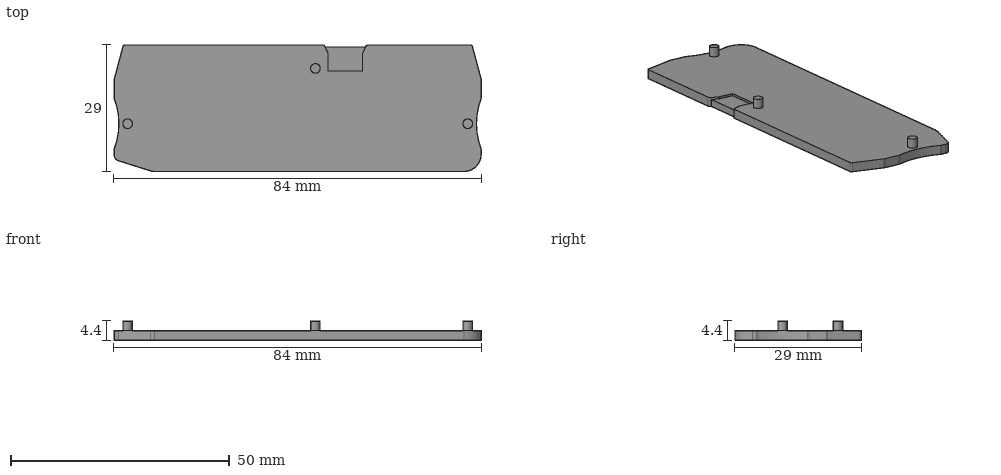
import cadquery as cq
import math

length = 84.0
width = 29.0
thickness = 2.2
total_height = 4.4
x_end = length / 2
y_back = width / 2
y_front = -width / 2

taper_run = 7.9
taper_angle = math.radians(15)
taper_inset = taper_run * math.tan(taper_angle)
y_taper = y_back - taper_run
rear_corner_radius = 0.5
taper_blend_radius = 1.0

grip_y = -3.55
grip_half_width = 5.8
grip_depth = 1.08
grip_blend_radius = 1.0

slope_start_x = -33.2
slope_angle = math.radians(17.5)
slope_end_y = y_front + (slope_start_x + x_end) * math.tan(slope_angle)
slope_side_radius = 1.5
slope_front_radius = 3.0
front_right_radius = 4.0

recess_x = 10.9
recess_half_width = 3.95
recess_depth_y = 6.0
recess_depth_z = 0.5
y_recess = y_back - recess_depth_y
flare_length = 2.0
flare_width = 0.9
mouth_radius = 0.5
ledge_setback = 0.5

pin_diameter = 2.2
end_pin_x = 38.9
middle_pin = (4.05, 9.1)
pins = [(-end_pin_x, grip_y), (end_pin_x, grip_y), middle_pin]


def round_edge(body, x, y, radius):
    """Round the vertical edge of the body that stands at (x, y)."""
    edge = body.edges("|Z").edges(cq.selectors.NearestToPointSelector((x, y, thickness / 2)))
    return edge.fillet(radius)


def make_plate():
    """Plate outline with its ends shaped and all vertical corners rounded."""
    grip_top = grip_y + grip_half_width
    grip_bottom = grip_y - grip_half_width
    x_rear = x_end - taper_inset
    plate = (
        cq.Workplane("XY")
        .moveTo(slope_start_x, y_front)
        .lineTo(x_end, y_front)
        .lineTo(x_end, grip_bottom)
        .threePointArc((x_end - grip_depth, grip_y), (x_end, grip_top))
        .lineTo(x_end, y_taper)
        .lineTo(x_rear, y_back)
        .lineTo(-x_rear, y_back)
        .lineTo(-x_end, y_taper)
        .lineTo(-x_end, grip_top)
        .threePointArc((-x_end + grip_depth, grip_y), (-x_end, grip_bottom))
        .lineTo(-x_end, slope_end_y)
        .close()
        .extrude(thickness)
    )
    for side in (-1, 1):
        plate = round_edge(plate, side * x_rear, y_back, rear_corner_radius)
        plate = round_edge(plate, side * x_end, y_taper, taper_blend_radius)
        plate = round_edge(plate, side * x_end, grip_top, grip_blend_radius)
        plate = round_edge(plate, side * x_end, grip_bottom, grip_blend_radius)
    plate = round_edge(plate, -x_end, slope_end_y, slope_side_radius)
    plate = round_edge(plate, slope_start_x, y_front, slope_front_radius)
    return round_edge(plate, x_end, y_front, front_right_radius)


def cut_recess(plate):
    """Cut the flared notch through the rear edge, then leave a thinner floor in it."""
    mouth_half_width = recess_half_width + flare_width
    y_flare = y_back - flare_length
    notch = (
        cq.Workplane("XY")
        .moveTo(recess_x - recess_half_width, y_recess)
        .lineTo(recess_x + recess_half_width, y_recess)
        .lineTo(recess_x + recess_half_width, y_flare)
        .lineTo(recess_x + mouth_half_width, y_back)
        .lineTo(recess_x - mouth_half_width, y_back)
        .lineTo(recess_x - recess_half_width, y_flare)
        .close()
        .extrude(thickness)
    )
    y_ledge = y_back - ledge_setback
    floor_depth = y_ledge - y_recess
    floor_height = thickness - recess_depth_z
    floor = (
        cq.Workplane("XY")
        .box(2 * mouth_half_width, floor_depth, floor_height, centered=(True, False, False))
        .translate((recess_x, y_recess, 0))
        .intersect(notch)
    )
    notched = plate.cut(notch)
    for side in (-1, 1):
        notched = round_edge(notched, recess_x + side * mouth_half_width, y_back, mouth_radius)
    return notched.union(floor)


def add_pins(plate):
    """Stand the round pins on the top face."""
    pin_shapes = cq.Workplane("XY").pushPoints(pins).circle(pin_diameter / 2).extrude(total_height)
    return plate.union(pin_shapes)


result = add_pins(cut_recess(make_plate()))